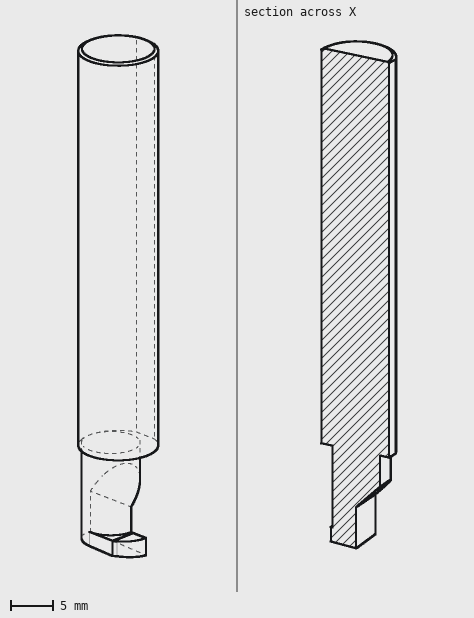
import cadquery as cq
import math

length = 63.5
shank_radius = 4.75
flat_offset = 4.5
end_chamfer_height = 0.25
end_chamfer_inset = 0.45

neck_length = 12.7
neck_radius = 3.5
neck_x = neck_radius - shank_radius

rake_height = 5.45
runout_angle = 45.0

head_top = 2.2
corner_chamfer = 0.4
corner_x = 2.6
relief_radius = 3.7
side_relief_angle = 1.5
end_relief_x_angle = 2.0
end_relief_y_angle = 3.0

margin = 6.35


def rise(run, angle):
    """Height gained over a run at an angle in degrees."""
    return run * math.tan(math.radians(angle))


def make_shank():
    profile = (
        cq.Workplane("XZ")
        .moveTo(0, neck_length)
        .lineTo(shank_radius, neck_length)
        .lineTo(shank_radius, length - end_chamfer_height)
        .lineTo(shank_radius - end_chamfer_inset, length)
        .lineTo(0, length)
        .close()
    )
    bar = profile.revolve(360, (0, 0), (0, 1))
    beyond_flat = cq.Workplane("XY").box(
        2 * shank_radius, margin, length, centered=(True, False, False)
    ).translate((0, flat_offset, 0))
    return bar.cut(beyond_flat)


def make_neck():
    bar = cq.Workplane("XY").center(neck_x, 0).circle(neck_radius).extrude(neck_length)
    removed_depth = neck_radius + margin
    runout_height = rake_height + rise(removed_depth, runout_angle)
    removed = (
        cq.Workplane("YZ")
        .polyline([
            (0, -margin),
            (removed_depth, -margin),
            (removed_depth, runout_height),
            (0, rake_height),
        ])
        .close()
        .extrude(shank_radius + margin, both=True)
    )
    return bar.cut(removed)


def make_head():
    outer_x = corner_x + corner_chamfer
    outer_y = corner_chamfer - neck_radius
    head = (
        cq.Workplane("XY")
        .moveTo(neck_x, 0)
        .lineTo(neck_x, -neck_radius)
        .lineTo(corner_x, -neck_radius)
        .lineTo(outer_x, outer_y)
        .radiusArc((shank_radius, 0), -relief_radius)
        .close()
        .extrude(head_top)
    )
    side_relief = (
        cq.Workplane("YZ", origin=(corner_x, 0, 0))
        .polyline([
            (0, head_top),
            (-margin, head_top - rise(margin, side_relief_angle)),
            (-margin, head_top),
        ])
        .close()
        .extrude(margin)
    )
    return head.cut(side_relief)


def make_below_end_face():
    """Solid under the end face, a plane through the tip at (shank_radius, 0, 0)."""
    normal = (
        rise(1, end_relief_x_angle),
        rise(1, end_relief_y_angle),
        1,
    )
    plane = cq.Plane(origin=(shank_radius, 0, 0), xDir=(0, 1, 0), normal=normal)
    size = 2 * (2 * shank_radius + margin)
    return cq.Workplane(plane).rect(size, size).extrude(-margin)


tool_end = make_neck().union(make_head()).cut(make_below_end_face())
result = make_shank().union(tool_end)